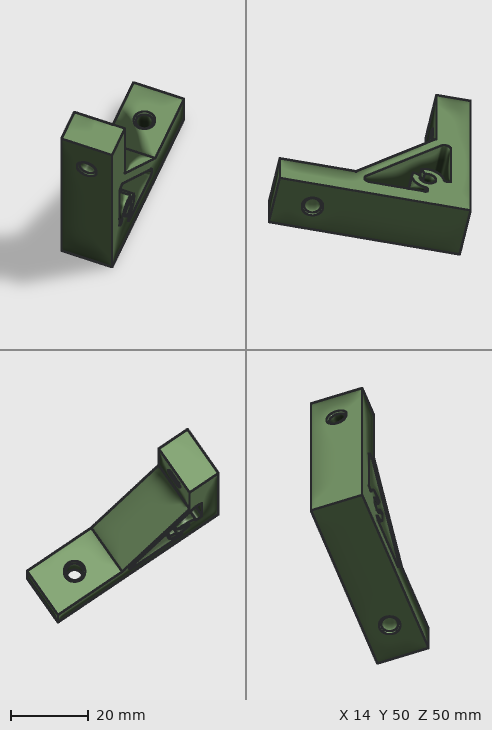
import cadquery as cq
import math

WIDTH = 14.0
ARM_LENGTH = 50.0
ARM_THICKNESS = 9.0
STRUT_START = 30.0

WALL = 5.1
STRUT_WIDTH = 4.0
WINDOW_FILLET = 1.5

CLIP_CENTER = 11.2
CLIP_OUTER_RADIUS = 4.2
CLIP_BORE_RADIUS = 2.1
CLIP_GAP_ANGLE = 43.0

RELIEF_RADIUS = 1.1
RELIEF_NEAR = WALL + 1.0
RELIEF_FAR = CLIP_CENTER + RELIEF_RADIUS

HOLE_DIAMETER = 4.4
HOLE_CHAMFER = 0.55
HOLE_POSITION = 40.0


def prism(points):
    """Extrude a closed YZ outline over the full width."""
    return cq.Workplane("YZ").polyline(points).close().extrude(WIDTH / 2, both=True)


def cylinder(y, z, radius):
    """Full-width cylinder along X."""
    return cq.Workplane("YZ").center(y, z).circle(radius).extrude(WIDTH / 2, both=True)


def bracket_body():
    return prism([
        (0, 0),
        (ARM_LENGTH, 0),
        (ARM_LENGTH, ARM_THICKNESS),
        (STRUT_START, ARM_THICKNESS),
        (ARM_THICKNESS, STRUT_START),
        (ARM_THICKNESS, ARM_LENGTH),
        (0, ARM_LENGTH),
    ])


def window():
    """Triangular opening, less the clip and its root."""
    tip = ARM_THICKNESS + STRUT_START - STRUT_WIDTH - WALL
    triangle = prism([(WALL, WALL), (tip, WALL), (WALL, tip)])
    triangle = triangle.edges("|X").edges(">Y or >Z").fillet(WINDOW_FILLET)
    clip_root = prism([
        (WALL, WALL),
        (RELIEF_FAR, WALL),
        (RELIEF_FAR, RELIEF_NEAR),
        (CLIP_CENTER, CLIP_CENTER),
        (RELIEF_NEAR, RELIEF_FAR),
        (WALL, RELIEF_FAR),
    ])
    opening = triangle.cut(clip_root)
    for y, z in [(RELIEF_NEAR, RELIEF_FAR), (RELIEF_FAR, RELIEF_NEAR)]:
        relief = cylinder(y, z, RELIEF_RADIUS).intersect(triangle)
        opening = opening.union(relief)
    return opening.cut(cylinder(CLIP_CENTER, CLIP_CENTER, CLIP_OUTER_RADIUS))


def clip_opening():
    """Bore of the clip and the wedge-shaped gap in its wall."""
    reach = CLIP_OUTER_RADIUS / math.cos(math.radians(CLIP_GAP_ANGLE / 2))
    wedge = [(CLIP_CENTER, CLIP_CENTER)]
    for angle in (45 - CLIP_GAP_ANGLE / 2, 45 + CLIP_GAP_ANGLE / 2):
        direction = math.radians(angle)
        y = CLIP_CENTER + reach * math.cos(direction)
        z = CLIP_CENTER + reach * math.sin(direction)
        wedge.append((y, z))
    return cylinder(CLIP_CENTER, CLIP_CENTER, CLIP_BORE_RADIUS).union(prism(wedge))


def mounting_hole(plane):
    """Chamfered hole through an arm, starting on the given plane."""
    bore_radius = HOLE_DIAMETER / 2
    mouth_radius = bore_radius + HOLE_CHAMFER
    profile = [
        (0, 0),
        (mouth_radius, 0),
        (bore_radius, HOLE_CHAMFER),
        (bore_radius, ARM_THICKNESS - HOLE_CHAMFER),
        (mouth_radius, ARM_THICKNESS),
        (0, ARM_THICKNESS),
    ]
    axis_start = (0, 0, 0)
    axis_end = (0, 1, 0)
    cutter = cq.Workplane("XY").polyline(profile).close().revolve(360, axis_start, axis_end)
    if plane == "XZ":
        return cutter.translate((0, 0, HOLE_POSITION))
    return cutter.rotate((0, 0, 0), (1, 0, 0), 90).translate((0, HOLE_POSITION, 0))


result = bracket_body().cut(window()).cut(clip_opening())
for hole_plane in ("XZ", "XY"):
    result = result.cut(mounting_hole(hole_plane))